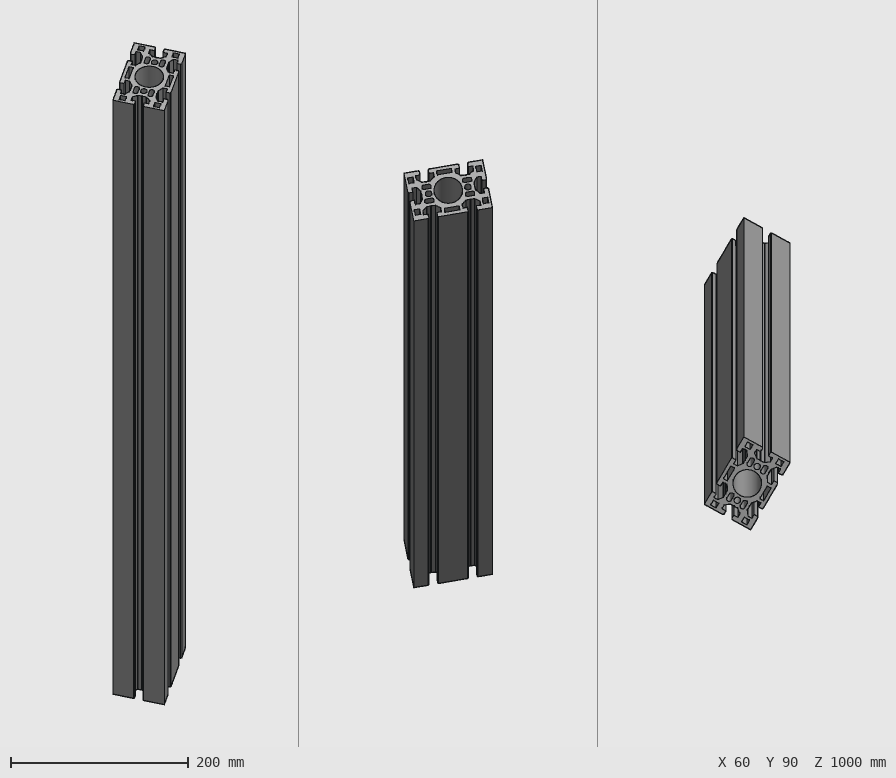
import cadquery as cq

WIDTH = 60.0
DEPTH = 90.0
LENGTH = 1000.0
HALF_WIDTH = WIDTH / 2
HALF_DEPTH = DEPTH / 2
SIDE_SLOT_PITCH = DEPTH / 2
MODULE_Y = SIDE_SLOT_PITCH / 2

SLOT_HALF_OPENING = 5.0
MOUTH_CHAMFER = 1.0
LIP_THICKNESS = 5.5
CAVITY_HALF_WIDTH = 10.2
CAVITY_SHOULDER_DEPTH = 10.5
FLOOR_HALF_WIDTH = 5.2
FLOOR_DEPTH = 14.2
RELIEF_HALF_WIDTH = 4.9
RELIEF_DEPTH = 14.6
V_GROOVE_HALF_WIDTH = 0.6
V_GROOVE_DEPTH = RELIEF_DEPTH + V_GROOVE_HALF_WIDTH

BORE_DIAMETER = 32.0
SCREW_CORE_DIAMETER = 7.2

CORNER_HOLLOW_X = (16.5, 23.4)
CORNER_HOLLOW_Y = (35.8, 42.0)
CORE_HOLLOW_X = (6.0, 11.5)
CORE_HOLLOW_Y = (18.0, 28.5)
CORE_HOLLOW_RADIUS = 2.5

SIDE_HOLLOW_X = (21.0, 26.0)
SIDE_HOLLOW_HALF_HEIGHT = 8.5

SIGNS = (1, -1)


def t_slot(angle, face_distance, offset):
    """T-slot cutter: made opening towards +Y, shifted along the face, then turned about Z."""
    half = [
        (SLOT_HALF_OPENING + MOUTH_CHAMFER, 0),
        (SLOT_HALF_OPENING, MOUTH_CHAMFER),
        (SLOT_HALF_OPENING, LIP_THICKNESS),
        (CAVITY_HALF_WIDTH, LIP_THICKNESS),
        (CAVITY_HALF_WIDTH, CAVITY_SHOULDER_DEPTH),
        (FLOOR_HALF_WIDTH, FLOOR_DEPTH),
        (RELIEF_HALF_WIDTH, FLOOR_DEPTH),
        (RELIEF_HALF_WIDTH, RELIEF_DEPTH),
        (V_GROOVE_HALF_WIDTH, RELIEF_DEPTH),
    ]
    mirrored = [(-across, depth) for across, depth in reversed(half)]
    section = half + [(0, V_GROOVE_DEPTH)] + mirrored
    points = [(offset + across, face_distance - depth) for across, depth in section]
    cutter = cq.Workplane("XY").polyline(points).close().extrude(LENGTH)
    return cutter.rotate((0, 0, 0), (0, 0, 1), angle)


def box_hollow(x_range, y_range):
    """Rectangular through-cutter spanning the given X and Y ranges."""
    size_x = x_range[1] - x_range[0]
    size_y = y_range[1] - y_range[0]
    center = (sum(x_range) / 2, sum(y_range) / 2)
    return cq.Workplane("XY").center(*center).rect(size_x, size_y).extrude(LENGTH)


def four_way(hollow):
    """The hollow and its mirror images in X and Y."""
    pair = hollow.union(hollow.mirror("YZ"))
    return pair.union(pair.mirror("XZ"))


def cut_slots(body):
    """One slot on each narrow side and two on each wide side."""
    for end_angle in (0, 180):
        body = body.cut(t_slot(end_angle, HALF_DEPTH, 0))
    for side_angle in (90, -90):
        for sign in SIGNS:
            body = body.cut(t_slot(side_angle, HALF_WIDTH, sign * MODULE_Y))
    return body


def cut_round_holes(body):
    """Central bore and the two screw cores."""
    bore = cq.Workplane("XY").circle(BORE_DIAMETER / 2).extrude(LENGTH)
    core_centers = [(0, sign * MODULE_Y) for sign in SIGNS]
    cores = cq.Workplane("XY").pushPoints(core_centers).circle(SCREW_CORE_DIAMETER / 2).extrude(LENGTH)
    return body.cut(bore).cut(cores)


def cut_hollows(body):
    """Corner hollows, hollows beside the screw cores and hollows between the side slots."""
    corner_hollow = box_hollow(CORNER_HOLLOW_X, CORNER_HOLLOW_Y)
    core_hollow = box_hollow(CORE_HOLLOW_X, CORE_HOLLOW_Y).edges("|Z").fillet(CORE_HOLLOW_RADIUS)
    side_hollow = box_hollow(SIDE_HOLLOW_X, (-SIDE_HOLLOW_HALF_HEIGHT, SIDE_HOLLOW_HALF_HEIGHT))
    body = body.cut(four_way(corner_hollow)).cut(four_way(core_hollow))
    return body.cut(side_hollow).cut(side_hollow.mirror("YZ"))


profile = cq.Workplane("XY").rect(WIDTH, DEPTH).extrude(LENGTH)
profile = cut_slots(profile)
profile = cut_round_holes(profile)
result = cut_hollows(profile)